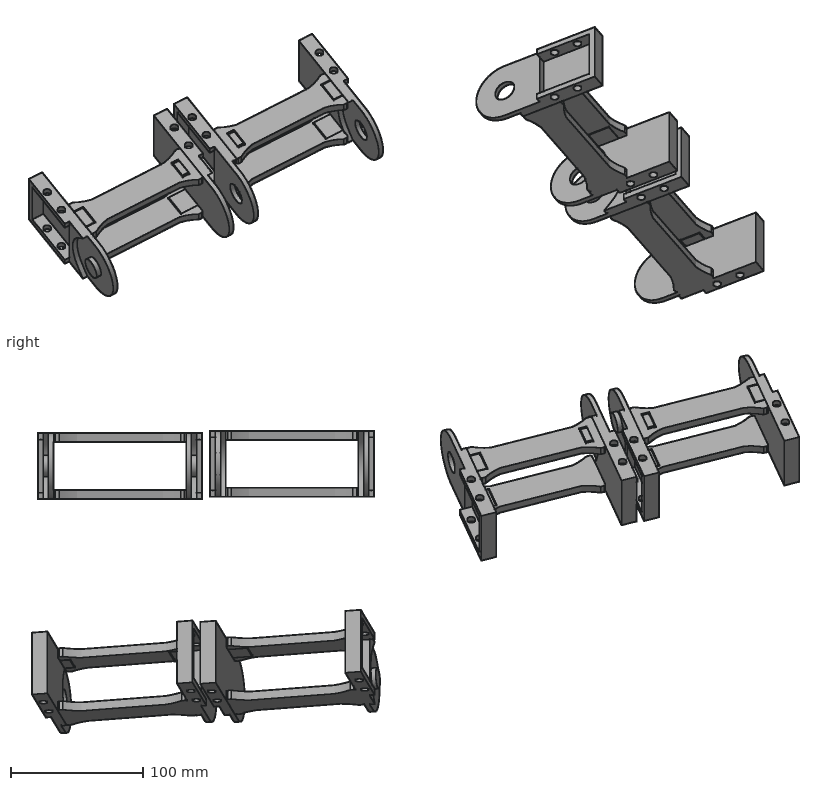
import cadquery as cq
import math

PLATE_HEIGHT = 50.0
DISC_RADIUS = PLATE_HEIGHT / 2
PIVOT_X = 81.0
LAYER = 4.0
PLATE_THICKNESS = 3 * LAYER
RIM_LENGTH = 50.5
SEAT_CLEARANCE = 0.6
SEAT_RADIUS = DISC_RADIUS + SEAT_CLEARANCE
PIN_DIAMETER = 16.0
PIN_HOLE_DIAMETER = 16.5

POCKET_WALL = 5.0
POCKET_FLOOR = 2.0
SCREW_DIAMETER = 6.0
SCREW_XS = (18.0, 38.0)
SCREW_Y = 7.0

BAR_LENGTH = 100.0
BAR_THICKNESS = 7.0
BAR_CENTER_X = 53.1
BAR_END_WIDTH = 33.0
BAR_NECK_WIDTH = 22.2
BAR_END_STRAIGHT = 4.0
BAR_CHAMFER_X = 0.8
BAR_CHAMFER_Y = 1.3
FLARE_LENGTH = 13.5
FLARE_SAGITTA = 0.62

HINGE_SLOT_WIDTH = 17.6
HINGE_SLOT_LENGTH = 8.4
HINGE_GAP = 0.7
HINGE_DROP = 0.2

SNAP_WIDTH = 18.0
SNAP_POCKET_LENGTH = 15.5
SNAP_THICKNESS = BAR_THICKNESS / 2
SNAP_GAP = 0.7
WINDOW_WIDTH = 16.2
WINDOW_START = 6.9
WINDOW_LENGTH = 6.2
TOOTH_WIDTH = 13.1

LINK_WIDTH = BAR_LENGTH + 2 * PLATE_THICKNESS
OVERALL_Y = 253.98
LINK_PITCH = OVERALL_Y - LINK_WIDTH
LINK_RISE = 1.62

LID_BOTTOM = PLATE_HEIGHT - BAR_THICKNESS


def block(x0, x1, y0, y1, z0, z1):
    """Box between the given limits."""
    box = cq.Workplane("XY").box(x1 - x0, y1 - y0, z1 - z0, centered=False)
    return box.translate((x0, y0, z0))


def bar_block(width, y0, y1, z0, z1):
    """Block centred on the bar's centre line."""
    return block(BAR_CENTER_X - width / 2, BAR_CENTER_X + width / 2, y0, y1, z0, z1)


def along_y(sketch, y0, y1):
    """Extrude an outline drawn on the XZ plane from y0 to y1."""
    return sketch.extrude(-(y1 - y0)).translate((0, y0, 0))


def disc_layer(y0):
    """Full-length layer rounded off concentrically with the pivot."""
    outline = (
        cq.Workplane("XZ")
        .lineTo(PIVOT_X, 0)
        .threePointArc((PIVOT_X + DISC_RADIUS, DISC_RADIUS), (PIVOT_X, PLATE_HEIGHT))
        .lineTo(0, PLATE_HEIGHT)
        .close()
    )
    return along_y(outline, y0, y0 + LAYER)


def seat_layer(y0):
    """Layer ending in the round seat of the mating disc, led out by 45 degree tangents."""
    diagonal = SEAT_RADIUS * math.sqrt(0.5)
    tangent_x = PIVOT_X - diagonal
    tip_x = tangent_x + (DISC_RADIUS - diagonal)
    outline = (
        cq.Workplane("XZ")
        .lineTo(tip_x, 0)
        .lineTo(tangent_x, DISC_RADIUS - diagonal)
        .threePointArc((PIVOT_X - SEAT_RADIUS, DISC_RADIUS), (tangent_x, DISC_RADIUS + diagonal))
        .lineTo(tip_x, PLATE_HEIGHT)
        .lineTo(0, PLATE_HEIGHT)
        .close()
    )
    return along_y(outline, y0, y0 + LAYER)


def pivot_cylinder(diameter, y0, y1):
    circle = cq.Workplane("XZ").center(PIVOT_X, DISC_RADIUS).circle(diameter / 2)
    return along_y(circle, y0, y1)


def side_plate(has_pins):
    """Plate with its inner face on y = 0 and its outside toward +Y."""
    if has_pins:
        plate = disc_layer(0).union(seat_layer(LAYER))
        plate = plate.union(pivot_cylinder(PIN_DIAMETER, LAYER, 2 * LAYER))
    else:
        plate = seat_layer(0).union(disc_layer(LAYER))
        plate = plate.cut(pivot_cylinder(PIN_HOLE_DIAMETER, LAYER, 2 * LAYER))
    plate = plate.union(block(0, RIM_LENGTH, 2 * LAYER, PLATE_THICKNESS, 0, PLATE_HEIGHT))
    plate = plate.cut(
        block(POCKET_WALL, RIM_LENGTH, POCKET_FLOOR, PLATE_THICKNESS,
              POCKET_WALL, PLATE_HEIGHT - POCKET_WALL)
    )
    screws = (
        cq.Workplane("XY")
        .pushPoints([(x, SCREW_Y) for x in SCREW_XS])
        .circle(SCREW_DIAMETER / 2)
        .extrude(PLATE_HEIGHT)
    )
    return plate.cut(screws)


def hinge_tongue():
    """Tongue of a +Y plate that fills the lid's open slot."""
    width = HINGE_SLOT_WIDTH - 2 * HINGE_GAP
    return bar_block(width, -(HINGE_SLOT_LENGTH - HINGE_GAP), 0, LID_BOTTOM, PLATE_HEIGHT - HINGE_DROP)


def snap_tongue(z0):
    """Half-height tongue of a +Y plate, from z0 upward."""
    return bar_block(SNAP_WIDTH, -(SNAP_POCKET_LENGTH - SNAP_GAP), 0, z0, z0 + SNAP_THICKNESS)


def lid_snap_tongue():
    """Snap tongue under the lid with a tooth standing up in the lid's window."""
    tooth = bar_block(
        TOOTH_WIDTH, -(WINDOW_START + WINDOW_LENGTH - SNAP_GAP), -WINDOW_START, LID_BOTTOM, PLATE_HEIGHT
    )
    return snap_tongue(LID_BOTTOM).union(tooth)


def snap_pocket(z0):
    """Space cut into a bar's +Y end for a snap tongue."""
    return bar_block(SNAP_WIDTH, -SNAP_POCKET_LENGTH, 0, z0, z0 + SNAP_THICKNESS)


def plain_bar(z0):
    """Bar reaching from y = -BAR_LENGTH to y = 0, flared at both ends."""
    half_length = BAR_LENGTH / 2
    half_end = BAR_END_WIDTH / 2
    half_neck = BAR_NECK_WIDTH / 2
    flare_start_y = half_length - BAR_END_STRAIGHT
    neck_y = flare_start_y - FLARE_LENGTH
    chamfer_x = half_end - BAR_CHAMFER_X
    chamfer_y = half_length - BAR_CHAMFER_Y
    bar = (
        cq.Workplane("XY")
        .moveTo(0, half_length)
        .lineTo(chamfer_x, half_length)
        .lineTo(half_end, chamfer_y)
        .lineTo(half_end, flare_start_y)
        .sagittaArc((half_neck, neck_y), -FLARE_SAGITTA)
        .lineTo(half_neck, -neck_y)
        .sagittaArc((half_end, -flare_start_y), -FLARE_SAGITTA)
        .lineTo(half_end, -chamfer_y)
        .lineTo(chamfer_x, -half_length)
        .lineTo(0, -half_length)
        .mirrorY()
        .extrude(BAR_THICKNESS)
    )
    return bar.translate((BAR_CENTER_X, -half_length, z0))


def swap_ends(shape):
    """Mirror a shape to the opposite end of the bars."""
    return shape.mirror("XZ").translate((0, -BAR_LENGTH, 0))


def lid_bar():
    """Upper bar with its hinge slot at +Y and its snap pocket and window at -Y."""
    slot = bar_block(HINGE_SLOT_WIDTH, -HINGE_SLOT_LENGTH, 0, LID_BOTTOM, PLATE_HEIGHT)
    window = bar_block(
        WINDOW_WIDTH, -(WINDOW_START + WINDOW_LENGTH), -WINDOW_START, LID_BOTTOM, PLATE_HEIGHT
    )
    return plain_bar(LID_BOTTOM).cut(slot).cut(swap_ends(window.union(snap_pocket(LID_BOTTOM))))


def link(has_pins, hinge_at_rear):
    """Rear plate, front plate with the floor bar, and lid bar of one link."""
    floor_snap_z = BAR_THICKNESS - SNAP_THICKNESS
    rear_tongue = hinge_tongue()
    front_tongue = lid_snap_tongue()
    lid = lid_bar()
    if not hinge_at_rear:
        rear_tongue, front_tongue = front_tongue, rear_tongue
        lid = swap_ends(lid)
    plate = side_plate(has_pins)
    rear = plate.union(rear_tongue).union(snap_tongue(floor_snap_z))
    floor_bar = plain_bar(0).cut(snap_pocket(floor_snap_z))
    front = swap_ends(plate.union(front_tongue)).union(floor_bar)
    return [rear, front, lid]


front_link = link(has_pins=True, hinge_at_rear=False)
rear_link = link(has_pins=False, hinge_at_rear=True)
rear_link = [body.translate((0, LINK_PITCH, LINK_RISE)) for body in rear_link]

result = cq.Compound.makeCompound([body.val() for body in front_link + rear_link])